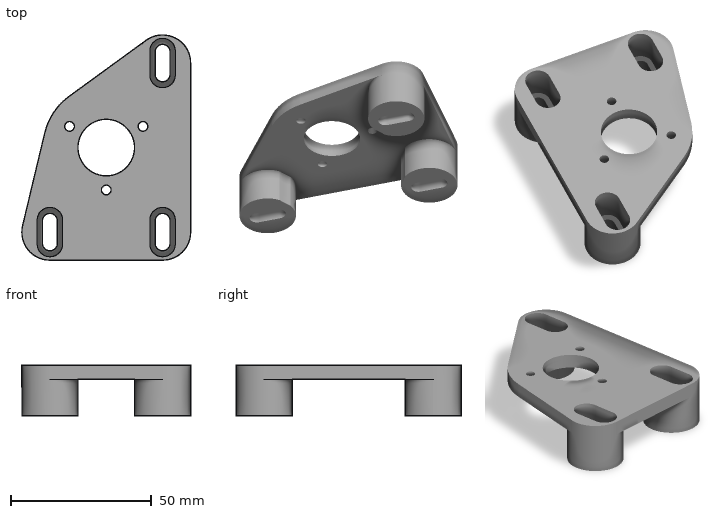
import cadquery as cq
import math

width = 60.0
length = 80.0
height = 18.0

plate_thickness = 5.0
leg_diameter = 20.0
leg_radius = leg_diameter / 2
plate_bottom = height - plate_thickness

bore_center = (width / 2, length / 2)
bore_diameter = 20.0
screw_hole_diameter = 3.4
screw_circle_radius = 15.0
screw_angles = (30, 150, 270)
shoulder_radius = 22.5
clearance_radius = 26.5

slot_width = 5.2
slot_travel = 8.0
recess_width = 9.0
recess_travel = 8.5
slot_floor_thickness = 5.0

left_leg = (leg_radius, leg_radius)
right_leg = (width - leg_radius, leg_radius)
rear_leg = (width - leg_radius, length - leg_radius)
leg_centers = [left_leg, right_leg, rear_leg]


def polar_point(center, radius, angle):
    """Point on a circle, with the angle in radians."""
    return (center[0] + radius * math.cos(angle), center[1] + radius * math.sin(angle))


def tangent_normal_angle(start, start_radius, end, end_radius):
    """Normal direction of the line tangent to the right-hand side of two circles."""
    dx = end[0] - start[0]
    dy = end[1] - start[1]
    lean = math.acos((start_radius - end_radius) / math.hypot(dx, dy))
    return math.atan2(dy, dx) - lean


def make_plate():
    """Plate outline wrapped counter-clockwise around three legs and a shoulder arc."""
    corners = [
        (left_leg, leg_radius),
        (right_leg, leg_radius),
        (rear_leg, leg_radius),
        (bore_center, shoulder_radius),
    ]
    normals = []
    for index, corner in enumerate(corners):
        following = corners[(index + 1) % len(corners)]
        normals.append(tangent_normal_angle(*corner, *following))

    start = polar_point(*corners[0], normals[-1])
    outline = cq.Workplane("XY").workplane(offset=plate_bottom).moveTo(*start)
    for index, (center, radius) in enumerate(corners):
        arc_start = normals[index - 1]
        arc_sweep = (normals[index] - arc_start) % math.tau
        if index > 0:
            outline = outline.lineTo(*polar_point(center, radius, arc_start))
        outline = outline.threePointArc(
            polar_point(center, radius, arc_start + arc_sweep / 2),
            polar_point(center, radius, arc_start + arc_sweep),
        )
    return outline.close().extrude(plate_thickness)


def make_legs():
    """Round legs, scooped out by a cylinder around the central bore."""
    legs = cq.Workplane("XY").pushPoints(leg_centers).circle(leg_radius).extrude(height)
    clearance = cq.Workplane("XY").center(*bore_center).circle(clearance_radius).extrude(plate_bottom)
    return legs.cut(clearance)


def make_slots(slot_size, travel, bottom):
    """Slots along Y at every leg, from the given level up through the top."""
    return (
        cq.Workplane("XY")
        .workplane(offset=bottom)
        .pushPoints(leg_centers)
        .slot2D(travel + slot_size, slot_size, 90)
        .extrude(height - bottom)
    )


def make_bore_and_screw_holes():
    """Central bore with its evenly spaced screw holes."""
    screw_points = [
        polar_point(bore_center, screw_circle_radius, math.radians(angle)) for angle in screw_angles
    ]
    bore = cq.Workplane("XY").center(*bore_center).circle(bore_diameter / 2).extrude(height)
    screw_holes = cq.Workplane("XY").pushPoints(screw_points).circle(screw_hole_diameter / 2).extrude(height)
    return bore.union(screw_holes)


result = make_plate().union(make_legs())
result = result.cut(make_slots(slot_width, slot_travel, 0))
result = result.cut(make_slots(recess_width, recess_travel, slot_floor_thickness))
result = result.cut(make_bore_and_screw_holes())